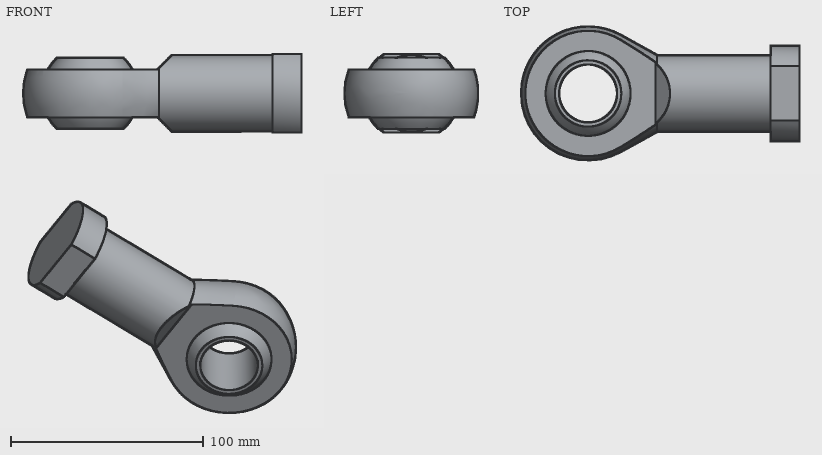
import cadquery as cq
import math

total_length = 145.0
head_radius = 35.0
eye_thickness = 25.0
ball_radius = 25.4
ball_width = 37.1
bore_diameter = 30.0
shank_radius = 20.0
shank_start = 36.0
shoulder_start = 35.1
collar_diameter = 49.9
collar_length = 15.1
collar_across_flats = 41.0

shank_end = total_length - head_radius
collar_start = shank_end - collar_length
half_eye = eye_thickness / 2

rim_distance = math.hypot(shank_start, shank_radius)
tangent_angle = math.atan2(shank_start, shank_radius) - math.acos(head_radius / rim_distance)
tangent_x = head_radius * math.sin(tangent_angle)
tangent_radius = head_radius * math.cos(tangent_angle)


def make_blank():
    """Head sphere, tangent neck cone and shank, revolved about the X axis."""
    return (
        cq.Workplane("XY")
        .moveTo(-head_radius, 0)
        .threePointArc((0, head_radius), (tangent_x, tangent_radius))
        .lineTo(shank_start, shank_radius)
        .lineTo(shank_end, shank_radius)
        .lineTo(shank_end, 0)
        .close()
        .revolve(360, (0, 0, 0), (1, 0, 0))
    )


def make_side_limit():
    """Flat eye faces opening through 45 degree shoulders to the full shank height."""
    shoulder_rise = head_radius - half_eye
    shoulder_end = shoulder_start + shoulder_rise
    return (
        cq.Workplane("XZ")
        .polyline([
            (-head_radius, -half_eye),
            (shoulder_start, -half_eye),
            (shoulder_end, -head_radius),
            (shank_end, -head_radius),
            (shank_end, head_radius),
            (shoulder_end, head_radius),
            (shoulder_start, half_eye),
            (-head_radius, half_eye),
        ])
        .close()
        .extrude(head_radius, both=True)
    )


def make_collar():
    """Round collar at the shank end with two wrench flats facing +Z and -Z."""
    disc = (
        cq.Workplane("YZ", origin=(collar_start, 0, 0))
        .circle(collar_diameter / 2)
        .extrude(collar_length)
    )
    flats = (
        cq.Workplane("YZ", origin=(collar_start, 0, 0))
        .rect(collar_diameter, collar_across_flats)
        .extrude(collar_length)
    )
    return disc.intersect(flats)


def make_housing():
    """Rod end body with a spherical seat for the ball."""
    body = make_blank().intersect(make_side_limit()).union(make_collar())
    return body.cut(cq.Workplane("XY").sphere(ball_radius))


def make_ball():
    """Ball with flat ends and a through bore along Z."""
    ends = cq.Workplane("XY").circle(ball_radius).extrude(ball_width / 2, both=True)
    bore = cq.Workplane("XY").circle(bore_diameter / 2).extrude(ball_width / 2, both=True)
    return cq.Workplane("XY").sphere(ball_radius).intersect(ends).cut(bore)


housing = make_housing()
ball = make_ball()

result = cq.Compound.makeCompound([housing.solids().val(), ball.solids().val()])